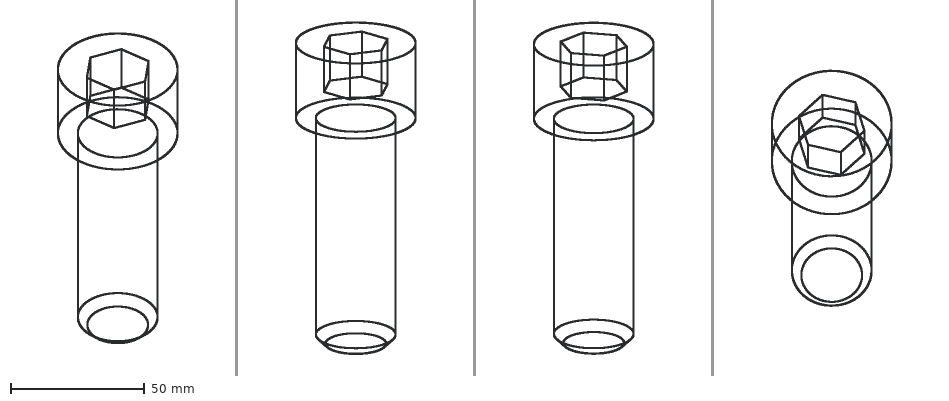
import cadquery as cq
import math

total_length = 120.0
head_diameter = 45.0
shank_diameter = 30.0
head_height = shank_diameter
tip_chamfer_height = 3.6
tip_chamfer_width = 3.6
socket_across_flats = 22.0
socket_depth = 18.0

shank_length = total_length - head_height
shank_radius = shank_diameter / 2


def make_shank():
    """Shank with a conical tip."""
    return (
        cq.Workplane("XZ")
        .moveTo(0, 0)
        .lineTo(shank_radius - tip_chamfer_width, 0)
        .lineTo(shank_radius, tip_chamfer_height)
        .lineTo(shank_radius, shank_length)
        .lineTo(0, shank_length)
        .close()
        .revolve(360, (0, 0, 0), (0, 1, 0))
    )


def make_head():
    """Plain cylindrical head on top of the shank."""
    return cq.Workplane("XY").workplane(offset=shank_length).circle(head_diameter / 2).extrude(head_height)


def make_socket():
    """Hexagonal key socket with two corners on the X axis."""
    across_corners = socket_across_flats / math.cos(math.radians(30))
    return (
        cq.Workplane("XY")
        .workplane(offset=total_length)
        .polygon(6, across_corners)
        .extrude(-socket_depth)
    )


result = make_shank().union(make_head()).cut(make_socket())